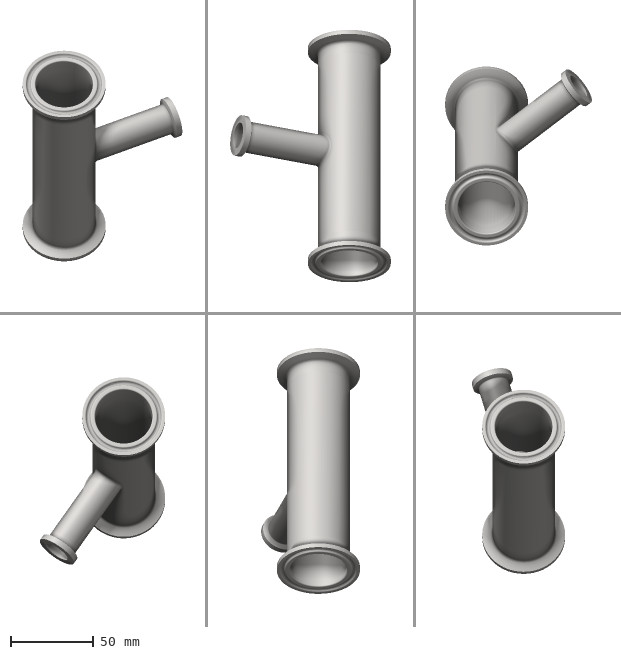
import cadquery as cq
import math

RUN_LENGTH = 146.0
RUN_RADIUS = 38.1 / 2
RUN_BORE_RADIUS = 34.7 / 2

BRANCH_END_Y = 73.0
BRANCH_RADIUS = 19.0 / 2
BRANCH_BORE_RADIUS = 15.8 / 2
JUNCTION_FILLET = 1.5

FERRULE_LENGTH = 12.7
RUN_FLANGE_RADIUS = 50.4 / 2
RUN_RIM_THICKNESS = 2.8
BRANCH_FLANGE_RADIUS = 25.0 / 2
BRANCH_RIM_THICKNESS = 3.6
CLAMP_ANGLE = math.radians(20)
RUN_NECK_FILLET = 1.5
BRANCH_NECK_FILLET = 0.5
MOUTH_ROUND = 0.7

GROOVE_RADIUS = 21.6
GROOVE_HALF_WIDTH = 1.3
GROOVE_DEPTH = 1.3
GROOVE_LIP_ROUND = 0.7


def ferrule(tube_radius, bore_radius, flange_radius, rim_thickness, neck_fillet):
    """Clamp ferrule along Z: sealing face at z = 0, tube end at z = -FERRULE_LENGTH."""
    neck_z = -rim_thickness - (flange_radius - tube_radius) * math.tan(CLAMP_ANGLE)
    body = (
        cq.Workplane("XZ")
        .moveTo(bore_radius, 0)
        .lineTo(flange_radius, 0)
        .lineTo(flange_radius, -rim_thickness)
        .lineTo(tube_radius, neck_z)
        .lineTo(tube_radius, -FERRULE_LENGTH)
        .lineTo(bore_radius, -FERRULE_LENGTH)
        .close()
        .revolve(360, (0, 0, 0), (0, 1, 0))
    )
    neck_edge = cq.selectors.BoxSelector(
        (-flange_radius, -flange_radius, neck_z - neck_fillet / 2),
        (flange_radius, flange_radius, neck_z + neck_fillet / 2),
    )
    return body.edges(neck_edge).fillet(neck_fillet)


def round_mouth(body):
    """Round the bore edge at the sealing face."""
    return body.faces(">Z").edges(cq.selectors.RadiusNthSelector(0)).fillet(MOUTH_ROUND)


def cut_gasket_groove(body):
    """Cut an arc-bottomed ring groove and round its two lips."""
    groove = (
        cq.Workplane("XZ")
        .moveTo(GROOVE_RADIUS - GROOVE_HALF_WIDTH, 0)
        .threePointArc((GROOVE_RADIUS, -GROOVE_DEPTH), (GROOVE_RADIUS + GROOVE_HALF_WIDTH, 0))
        .close()
        .revolve(360, (0, 0, 0), (0, 1, 0))
    )
    lips = cq.selectors.RadiusNthSelector(1) + cq.selectors.RadiusNthSelector(2)
    return body.cut(groove).faces(">Z").edges(lips).fillet(GROOVE_LIP_ROUND)


def run_ferrule():
    body = ferrule(RUN_RADIUS, RUN_BORE_RADIUS, RUN_FLANGE_RADIUS, RUN_RIM_THICKNESS, RUN_NECK_FILLET)
    body = cut_gasket_groove(body)
    return round_mouth(body)


def branch_ferrule():
    body = ferrule(
        BRANCH_RADIUS, BRANCH_BORE_RADIUS, BRANCH_FLANGE_RADIUS, BRANCH_RIM_THICKNESS, BRANCH_NECK_FILLET
    )
    return body.rotate((0, 0, 0), (1, 0, 0), -90).translate((0, BRANCH_END_Y, 0))


def tee():
    """Run and branch tubes as one body, with both bores meeting inside."""
    run_length = RUN_LENGTH - 2 * FERRULE_LENGTH
    branch_length = BRANCH_END_Y - FERRULE_LENGTH
    run = cq.Workplane("XY").circle(RUN_RADIUS).extrude(run_length / 2, both=True)
    run_bore = cq.Workplane("XY").circle(RUN_BORE_RADIUS).extrude(run_length / 2, both=True)
    branch = cq.Workplane("XZ").circle(BRANCH_RADIUS).extrude(-branch_length)
    branch_bore = cq.Workplane("XZ").circle(BRANCH_BORE_RADIUS).extrude(-branch_length)
    junction = cq.selectors.BoxSelector(
        (-RUN_RADIUS, RUN_RADIUS / 2, -RUN_RADIUS),
        (RUN_RADIUS, RUN_RADIUS, RUN_RADIUS),
    )
    outside = run.union(branch).edges(junction)
    return outside.fillet(JUNCTION_FILLET).cut(run_bore).cut(branch_bore)


def place_run_ferrules():
    """One ferrule at each end of the run, sealing faces outward."""
    placed = []
    for flip_angle in (0, 180):
        body = run_ferrule().translate((0, 0, RUN_LENGTH / 2))
        placed.append(body.rotate((0, 0, 0), (1, 0, 0), flip_angle).val())
    return placed


result = cq.Compound.makeCompound([tee().val(), *place_run_ferrules(), branch_ferrule().val()])